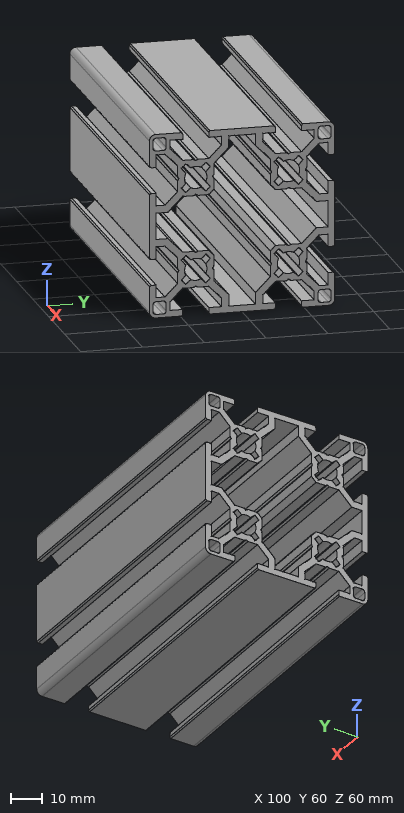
import cadquery as cq
import math

length = 100.0
side = 60.0
half_side = side / 2
core_offset = half_side / 2
corner_radius = 2.0

slot_opening = 8.4
slot_inner_width = 16.6
flange_thickness = 2.2
lip_chamfer_depth = 0.6
lip_chamfer_width = 0.3

core_half = 5.9
web_thickness = 2.4
post_thickness = 2.4
notch_depth = 0.4
notch_width = 1.4

bore_diameter = 7.2
arm_reach = 5.6
arm_end_width = 2.0
arm_root_width = 2.4

chamber_wall = 1.2
chamber_size = 4.2
chamber_radius = 1.0

lip_end = slot_opening / 2
slot_wall = slot_inner_width / 2
flange_inner = core_offset - flange_thickness
post_far = slot_wall + post_thickness
web_shift = web_thickness / math.sqrt(2)
quarter_turns = (0, 90, 180, 270)
diagonal = 45


def prism(points):
    """Extrude a closed YZ outline over the full length."""
    return cq.Workplane("YZ").polyline(points).close().extrude(length)


def turned(solid, angle):
    """Turn a solid about the X axis of the current coordinates."""
    return solid.rotate((0, 0, 0), (1, 0, 0), angle)


def slot_cutter():
    """T-slot opening toward +Z, in core coordinates."""
    right = [
        (core_half - web_shift, core_half),
        (slot_wall, slot_wall + web_shift),
        (slot_wall, flange_inner),
        (lip_end, flange_inner),
        (lip_end, core_offset - lip_chamfer_depth),
        (lip_end + lip_chamfer_width, core_offset),
    ]
    left = [(-y, z) for y, z in reversed(right)]
    bottom_notch = [
        (-notch_width / 2, core_half),
        (0, core_half - notch_depth),
        (notch_width / 2, core_half),
    ]
    return prism(right + left + bottom_notch)


def bore_cutter():
    """Round bore with four tapered arms on the diagonals."""
    cutter = cq.Workplane("YZ").circle(bore_diameter / 2).extrude(length)
    root = bore_diameter / 4
    arm = prism([
        (root, -arm_root_width / 2),
        (arm_reach, -arm_end_width / 2),
        (arm_reach, arm_end_width / 2),
        (root, arm_root_width / 2),
    ])
    for turn in quarter_turns:
        cutter = cutter.union(turned(arm, turn + diagonal))
    return cutter


def chamber_cutter():
    """Rounded square hollow in the outer corner of a module, in core coordinates."""
    center = core_offset - chamber_wall - chamber_size / 2
    return (
        cq.Workplane("YZ")
        .center(center, center)
        .rect(chamber_size, chamber_size)
        .extrude(length)
        .edges("|X")
        .fillet(chamber_radius)
    )


def module_cutter():
    """Everything removed around the core of the +Y +Z module."""
    cutter = slot_cutter().union(turned(slot_cutter(), -90))
    cutter = cutter.union(bore_cutter()).union(chamber_cutter())
    return cutter.translate((0, core_offset, core_offset))


def central_cavity():
    """Large hollow between the four cores, following the posts and webs."""
    post_face = core_offset - post_far
    flange_face = half_side - flange_thickness
    bend = core_offset + post_far - web_shift
    core_near = core_offset - core_half
    core_far = core_offset + core_half
    chamfer_end = core_near + web_shift
    web_end = core_far - web_shift
    notch_start = core_offset - notch_width / 2
    notch_end = core_offset + notch_width / 2
    notch_floor = core_near + notch_depth
    upper = [
        (post_face, flange_face),
        (post_face, bend),
        (core_near, web_end),
        (core_near, notch_end),
        (notch_floor, core_offset),
        (core_near, notch_start),
        (core_near, chamfer_end),
    ]
    quarter = upper + [(z, y) for y, z in reversed(upper)]
    outline = []
    for turn in quarter_turns:
        cosine = round(math.cos(math.radians(turn)))
        sine = round(math.sin(math.radians(turn)))
        outline += [(cosine * y + sine * z, cosine * z - sine * y) for y, z in quarter]
    return prism(outline)


result = (
    cq.Workplane("YZ")
    .rect(side, side)
    .extrude(length)
    .edges("|X")
    .fillet(corner_radius)
    .cut(central_cavity())
)
for turn in quarter_turns:
    result = result.cut(turned(module_cutter(), turn))